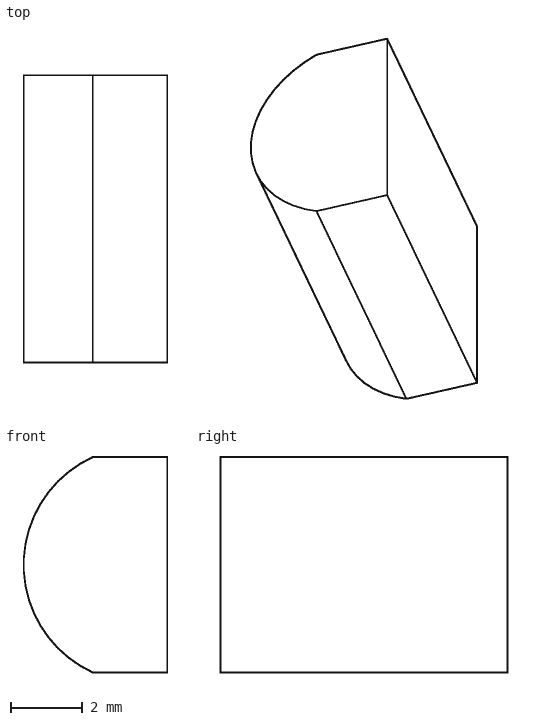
import cadquery as cq

width = 4.0
length = 8.0
height = 6.0
flat_depth = 2.07

back_x = width / 2
crown_x = -width / 2
arc_end_x = back_x - flat_depth
half_height = height / 2

result = (
    cq.Workplane("XZ")
    .moveTo(back_x, -half_height)
    .lineTo(back_x, half_height)
    .lineTo(arc_end_x, half_height)
    .threePointArc((crown_x, 0), (arc_end_x, -half_height))
    .close()
    .extrude(length / 2, both=True)
)